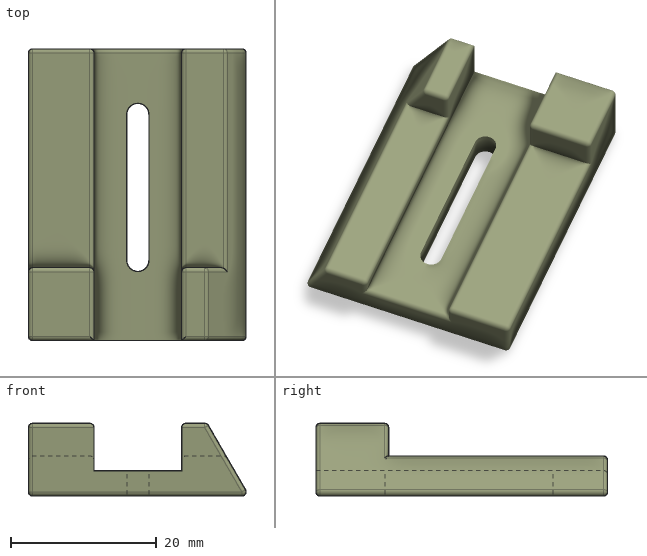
import cadquery as cq
import math

length = 40.0
width = 29.85
block_height = 10.0
floor_height = 3.5
rail_height = floor_height + 2.0
block_length = 10.0
edge_radius = 0.6
tolerance = 4e-05

channel_start = 9.0
channel_width = 12.0
channel_end = channel_start + channel_width

slope_angle = math.radians(60)
toe_loss = edge_radius / math.tan(slope_angle / 2) - edge_radius
toe = width + toe_loss

slot_width = 3.0
slot_length = 23.0
slot_center_x = channel_start + channel_width / 2
slot_center_y = 21.0

rail_start = block_length / 2


def channel_section(height, y_start, y_end):
    """Channel profile with one sloped side, extruded along Y."""
    slope_top = toe - height / math.tan(slope_angle)
    profile = [
        (0, 0),
        (toe, 0),
        (slope_top, height),
        (channel_end, height),
        (channel_end, floor_height),
        (channel_start, floor_height),
        (channel_start, height),
        (0, height),
    ]
    plane = cq.Workplane("XZ", origin=(0, y_start, 0))
    return plane.polyline(profile).close().extrude(y_start - y_end)


def is_near(value, target):
    return abs(value - target) < tolerance


def is_lengthwise_outer(edge):
    """Convex edges along Y: every one except the two at the channel floor."""
    along_y = edge.BoundingBox().ylen > edge_radius
    return along_y and not is_near(edge.Center().z, floor_height)


def is_inside_channel(edge):
    """Edges of an end face that border the channel opening."""
    center = edge.Center()
    in_width = channel_start - edge_radius < center.x < channel_end + edge_radius
    return in_width and center.z > edge_radius


def round_edges(body, selected):
    edges = [edge for edge in body.edges().vals() if selected(edge)]
    return body.newObject(edges).fillet(edge_radius)


def make_blocks():
    """Tall front section; its front edges at the channel opening stay sharp."""
    def selected(edge):
        center = edge.Center()
        if is_near(center.y, 0):
            return not is_inside_channel(edge)
        if is_near(center.y, block_length):
            return center.z > floor_height + edge_radius
        return is_lengthwise_outer(edge)

    return round_edges(channel_section(block_height, 0, block_length), selected)


def make_rails():
    """Low rear section with its whole back end rounded."""
    def selected(edge):
        return is_near(edge.Center().y, length) or is_lengthwise_outer(edge)

    return round_edges(channel_section(rail_height, rail_start, length), selected)


slot = (
    cq.Workplane("XY")
    .center(slot_center_x, slot_center_y)
    .slot2D(slot_length, slot_width, 90)
    .extrude(block_height)
)

result = make_blocks().union(make_rails()).cut(slot).clean()